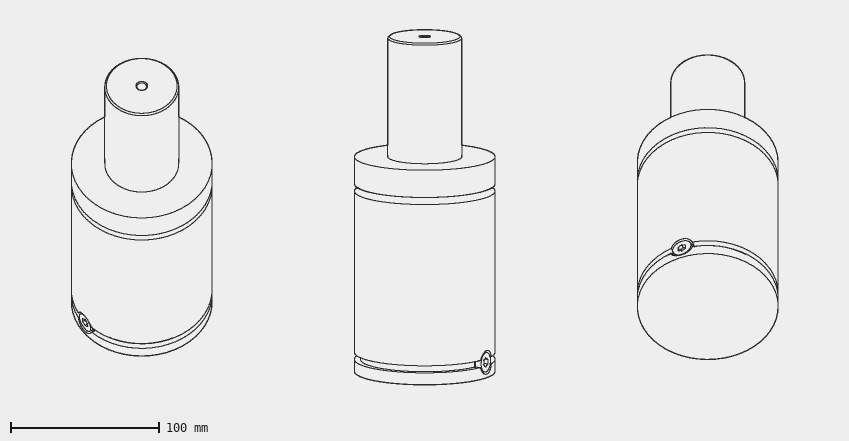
import cadquery as cq

total_height = 230.0
body_diameter = 95.0
body_radius = body_diameter / 2
body_height = 147.5
rod_diameter = 50.0
rod_radius = rod_diameter / 2
rod_chamfer = 1.2

round_groove_width = 4.8
round_groove_radius = round_groove_width / 2
round_groove_z = 126.3

base_groove_bottom = 8.3
base_groove_width = 4.8
base_groove_depth = 4.1

plug_z = 10.5
plug_radius = 6.7
plug_recess = 0.7
plug_height = 4.5
seat_radius = 8.0
seat_depth = 5.0
socket_across_corners = 6.2
socket_depth = 2.8

hole_radius = 3.2
hole_depth = 11.5
hole_chamfer = 0.7
drill_tip_height = 1.8


def make_body_and_rod():
    body = cq.Workplane("XY").circle(body_radius).extrude(body_height)
    rod = (
        cq.Workplane("XY")
        .circle(rod_radius)
        .extrude(total_height)
        .faces(">Z")
        .chamfer(rod_chamfer)
    )
    return body.union(rod)


def make_round_groove():
    return (
        cq.Workplane("XZ")
        .center(body_radius, round_groove_z)
        .circle(round_groove_radius)
        .revolve(360, (-body_radius, 0), (-body_radius, 1))
    )


def make_base_groove():
    return (
        cq.Workplane("XY", origin=(0, 0, base_groove_bottom))
        .circle(body_radius)
        .circle(body_radius - base_groove_depth)
        .extrude(base_groove_width)
    )


def plug_sketch_plane(depth):
    """Plane facing -Y on the plug axis, at a depth below the body surface."""
    return cq.Workplane("XZ", origin=(0, depth - body_radius, plug_z))


def add_plug(part):
    seat = plug_sketch_plane(seat_depth).circle(seat_radius).extrude(seat_depth)
    plug_bottom = plug_recess + plug_height
    plug = plug_sketch_plane(plug_bottom).circle(plug_radius).extrude(plug_height)
    socket = (
        plug_sketch_plane(plug_recess)
        .transformed(rotate=(0, 0, 90))
        .polygon(6, socket_across_corners)
        .extrude(-socket_depth)
    )
    return part.cut(seat).union(plug).cut(socket)


def make_rod_hole():
    """Drilled hole with a chamfered mouth and a conical bottom."""
    bottom = total_height - hole_depth
    return (
        cq.Workplane("XZ")
        .moveTo(0, total_height)
        .lineTo(hole_radius + hole_chamfer, total_height)
        .lineTo(hole_radius, total_height - hole_chamfer)
        .lineTo(hole_radius, bottom)
        .lineTo(0, bottom - drill_tip_height)
        .close()
        .revolve(360, (0, 0), (0, 1))
    )


grooved = make_body_and_rod().cut(make_round_groove()).cut(make_base_groove())
result = add_plug(grooved).cut(make_rod_hole())